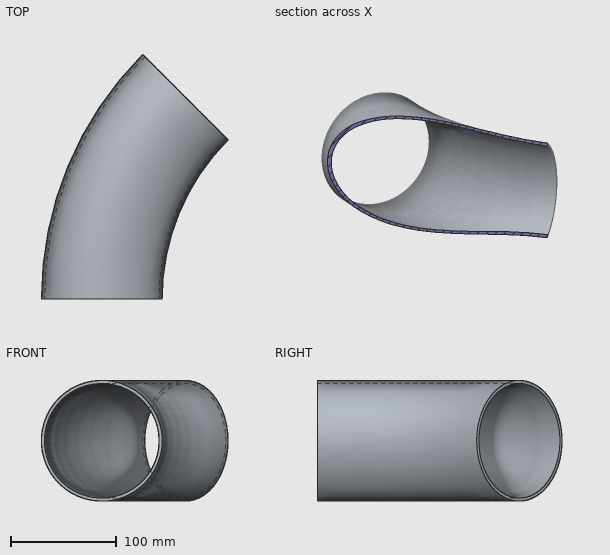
import cadquery as cq

outer_diameter = 114.3
wall_thickness = 3.0
bend_radius = 270.0
bend_angle = 45.0

outer_radius = outer_diameter / 2
inner_radius = outer_radius - wall_thickness


def make_elbow():
    """Revolve the tube ring about a vertical axis on the +X side, turning from +Y toward +X."""
    ring = cq.Workplane("XZ").circle(outer_radius).circle(inner_radius)
    axis_start = (bend_radius, 0)
    axis_end = (bend_radius, -1)
    return ring.revolve(bend_angle, axis_start, axis_end)


result = make_elbow()